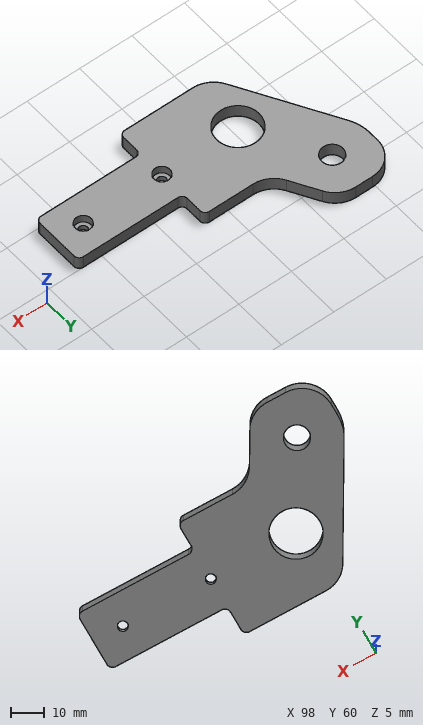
import cadquery as cq
import math

thickness = 5.0
body_half_width = 20.0
body_right = 29.0
tab_half_width = 10.0
tab_right = 69.0

arm_angle = math.radians(120)
arm_length = 30.0
arm_half_width = 14.0
arm_hole_x = arm_length * math.cos(arm_angle)
arm_hole_y = arm_length * math.sin(arm_angle)
arm_left = arm_hole_x - arm_half_width
arm_top = arm_hole_y + arm_half_width

large_radius = 10.0
elbow_radius = 15.0
small_radius = 2.0

pivot_diameter = 16.1
arm_hole_diameter = 8.0
screw_diameter = 3.2
counterbore_diameter = 6.0
counterbore_depth = 3.0
screw_spacing = 30.0


def arm_edge_x(y, side):
    """X of the arm's slanted edge at height y; side is -1 (left) or 1 (right)."""
    return y / math.tan(arm_angle) + side * arm_half_width / math.sin(arm_angle)


def arm_edge_y(x, side):
    """Y of the arm's slanted edge at position x."""
    return (x - side * arm_half_width / math.sin(arm_angle)) * math.tan(arm_angle)


corners = [
    (arm_edge_x(-body_half_width, -1), -body_half_width, large_radius),
    (body_right, -body_half_width, small_radius),
    (body_right, -tab_half_width, small_radius),
    (tab_right, -tab_half_width, small_radius),
    (tab_right, tab_half_width, small_radius),
    (body_right, tab_half_width, small_radius),
    (body_right, body_half_width, small_radius),
    (arm_edge_x(body_half_width, 1), body_half_width, large_radius),
    (arm_edge_x(arm_top, 1), arm_top, large_radius),
    (arm_left, arm_top, large_radius),
    (arm_left, arm_edge_y(arm_left, -1), elbow_radius),
]

outline = [(x, y) for x, y, radius in corners]
result = cq.Workplane("XY").polyline(outline).close().extrude(thickness)

for x, y, radius in corners:
    corner_edge = cq.selectors.NearestToPointSelector((x, y, thickness / 2))
    result = result.edges("|Z").edges(corner_edge).fillet(radius)

for x, y, diameter in [
    (0, 0, pivot_diameter),
    (arm_hole_x, arm_hole_y, arm_hole_diameter),
]:
    hole = cq.Workplane("XY").center(x, y).circle(diameter / 2).extrude(thickness)
    result = result.cut(hole)

screw_points = [(body_right, 0), (body_right + screw_spacing, 0)]
result = (
    result.cut(
        cq.Workplane("XY").pushPoints(screw_points).circle(screw_diameter / 2).extrude(thickness)
    )
    .cut(
        cq.Workplane("XY", origin=(0, 0, thickness - counterbore_depth))
        .pushPoints(screw_points)
        .circle(counterbore_diameter / 2)
        .extrude(counterbore_depth)
    )
)